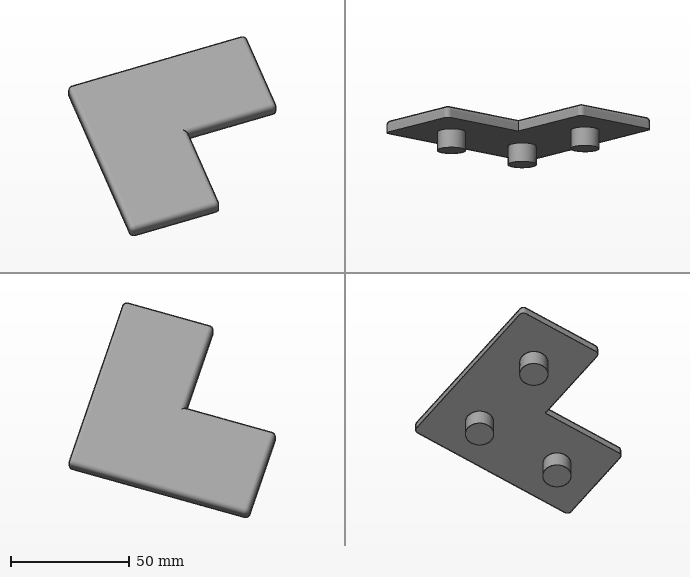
import cadquery as cq

side = 80.0
arm_width = side / 2
total_height = 13.1
peg_length = 8.0
plate_thickness = total_height - peg_length
edge_radius = 2.0
peg_diameter = 12.0

near = arm_width / 2
far = side - arm_width / 2
peg_centers = [(near, near), (far, near), (near, far)]


def make_plate():
    """L-shaped plate with rounded outer corners and a rounded top rim."""
    outline = [
        (0, 0),
        (side, 0),
        (side, arm_width),
        (arm_width, arm_width),
        (arm_width, side),
        (0, side),
    ]
    plate = cq.Workplane("XY").polyline(outline).close().extrude(plate_thickness)
    inner_corner = cq.selectors.NearestToPointSelector((arm_width, arm_width, plate_thickness / 2))
    outer_corners = cq.selectors.SubtractSelector(cq.selectors.StringSyntaxSelector("|Z"), inner_corner)
    plate = plate.edges(outer_corners).fillet(edge_radius)
    return plate.faces(">Z").edges().fillet(edge_radius)


def make_pegs():
    """Round pegs hanging from the underside of the plate."""
    return cq.Workplane("XY").pushPoints(peg_centers).circle(peg_diameter / 2).extrude(-peg_length)


result = make_plate().union(make_pegs())